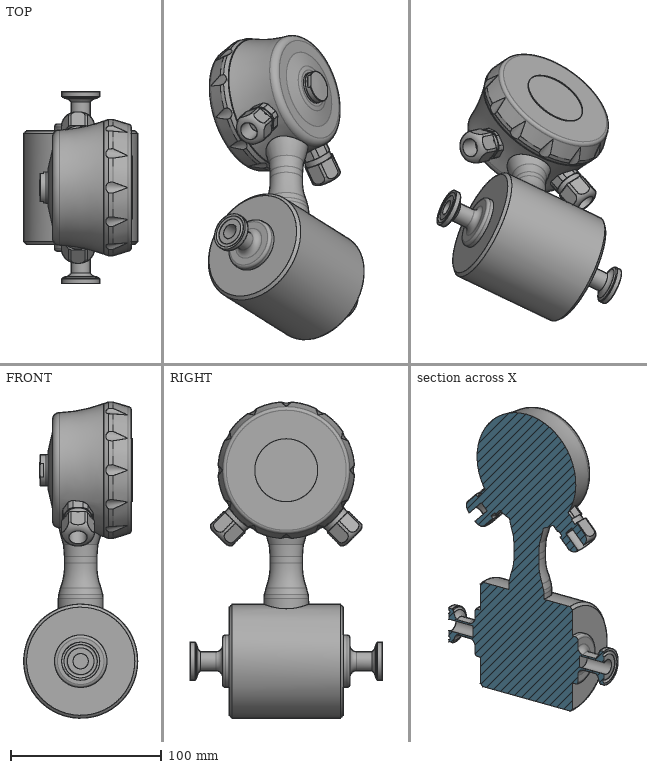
import cadquery as cq
import math


BODY_DIAMETER = 76.1
BODY_LENGTH = 76.0
BODY_CHAMFER = 2.0

OVERALL_LENGTH = 128.0
COLLAR_DIAMETER = 35.0
COLLAR_THICKNESS = 4.5
COLLAR_ROUND = 2.0
PIPE_DIAMETER = 12.9
PIPE_FILLET = 4.2
CLAMP_DIAMETER = 25.4
CLAMP_RIM = 3.2
CLAMP_RIM_BEVEL = 0.6
CLAMP_BACK_DIAMETER = 21.0
CLAMP_BACK = 4.6
CLAMP_LENGTH = 7.0
CLAMP_BOW = 0.4
SEAL_GROOVE_DIAMETER = 20.0
SEAL_GROOVE_WIDTH = 2.2
SEAL_GROOVE_DEPTH = 0.9
BORE_DIAMETER = 10.2
BORE_DEPTH = 20.0

NECK_BASE_DIAMETER = 30.0
NECK_BASE_Z = 41.8
NECK_BEVEL_DIAMETER = 29.4
NECK_BEVEL_Z = 44.4
NECK_SHOULDER_DIAMETER = 27.2
NECK_SHOULDER_Z = 48.7
NECK_LOWER_BOW = 0.9
NECK_WAIST_DIAMETER = 21.8
NECK_WAIST_BOTTOM_Z = 65.3
NECK_WAIST_TOP_Z = 69.8
NECK_FLARE_DIAMETER = 23.0
NECK_FLARE_Z = 77.7
NECK_FLARE_BULGE = 0.3
NECK_TOP_DIAMETER = 30.0
NECK_TOP_Z = 92.0

HEAD_Z = 127.3
HOUSING_FACE_X = -18.8
HOUSING_RADIUS = 38.4
HOUSING_ROUND = 4.6
HOUSING_MID_X = 0.5
HOUSING_MID_RADIUS = 40.2
CONE_RADIUS = 25.7
CONE_STEP_X = -21.1
CONE_STEP_RADIUS = 15.5
HUB_X = -21.8
HUB_RADIUS = 12.5

LID_X = 15.2
LID_EDGE_RADIUS = 44.4
LID_SEAM_WIDTH = 0.4
LID_SEAM_DEPTH = 0.2
RIDGE_START_X = 18.6
RIDGE_END_X = 21.4
RIDGE_RADIUS = 45.65
LID_ROUND_X = 31.6
LID_ROUND_RADIUS = 42.4
LID_FACE_X = 33.8
LID_FACE_RADIUS = 40.0
WINDOW_RADIUS = 21.0
WINDOW_X = 34.4

NOTCH_COUNT = 12
NOTCH_TIP_OVERRUN = 0.3
NOTCH_TIP_CLEARANCE = 0.05
NOTCH_TIP_X = LID_ROUND_X + NOTCH_TIP_OVERRUN
NOTCH_TIP_RADIUS = LID_ROUND_RADIUS + NOTCH_TIP_CLEARANCE
NOTCH_HALF_ANGLE = 27.0
NOTCH_FLOOR_ANGLE = 9.1
NOTCH_CUTTER_LENGTH = 20.0

BUTTON_DIAMETER = 20.8
BUTTON_FOOT_DIAMETER = 21.0
BUTTON_FOOT_X = -23.2
BUTTON_EDGE_X = -27.0
BUTTON_TIP_X = -27.6
BUTTON_CHAMFER = 0.3
BUTTON_FLAT_DISTANCE = 9.4
BUTTON_FLAT_LENGTH = 2.8

GLAND_X = -1.8
GLAND_ANGLE = 45.0
STEM_START = 28.0
BASE_HEX_START = 37.9
BASE_HEX_END = 44.8
NUT_START = 48.7
NUT_END = 63.3
STEM_DIAMETER = 16.0
BASE_HEX_FLATS = 19.2
BASE_HEX_DIAMETER = 20.4
GLAND_COLLAR_DIAMETER = 18.6
NUT_FLATS = 20.0
NUT_DIAMETER = 22.0
NUT_END_ROUND = 4.8
CABLE_HOLE_DIAMETER = 12.0
CABLE_HOLE_DEPTH = 14.0


def make_body():
    body = (
        cq.Workplane("XZ", origin=(0, BODY_LENGTH / 2, 0))
        .circle(BODY_DIAMETER / 2)
        .extrude(BODY_LENGTH)
    )
    return body.faces("|Y").edges().chamfer(BODY_CHAMFER)


def make_pipe_end():
    """Collar, pipe and clamp ferrule on the -Y side, turned about the Y axis."""
    collar_face = BODY_LENGTH / 2 + COLLAR_THICKNESS
    end = OVERALL_LENGTH / 2
    pipe_radius = PIPE_DIAMETER / 2
    collar_radius = COLLAR_DIAMETER / 2
    clamp_radius = CLAMP_DIAMETER / 2
    back_radius = CLAMP_BACK_DIAMETER / 2
    groove_radius = SEAL_GROOVE_DIAMETER / 2
    half_groove = SEAL_GROOVE_WIDTH / 2
    diagonal = math.sqrt(0.5)
    collar_center = collar_face - COLLAR_ROUND
    collar_arc = (
        collar_radius - COLLAR_ROUND * (1 - diagonal),
        -(collar_center + COLLAR_ROUND * diagonal),
    )
    fillet_arc = (
        pipe_radius + PIPE_FILLET * (1 - diagonal),
        -(collar_face + PIPE_FILLET * (1 - diagonal)),
    )
    clamp_arc = (
        (pipe_radius + back_radius) / 2 - CLAMP_BOW,
        -(end - (CLAMP_LENGTH + CLAMP_BACK) / 2 + CLAMP_BOW),
    )
    profile = (
        cq.Workplane("XY")
        .moveTo(0, 0)
        .lineTo(collar_radius, 0)
        .lineTo(collar_radius, -collar_center)
        .threePointArc(collar_arc, (collar_radius - COLLAR_ROUND, -collar_face))
        .lineTo(pipe_radius + PIPE_FILLET, -collar_face)
        .threePointArc(fillet_arc, (pipe_radius, -(collar_face + PIPE_FILLET)))
        .lineTo(pipe_radius, -(end - CLAMP_LENGTH))
        .threePointArc(clamp_arc, (back_radius, -(end - CLAMP_BACK)))
        .lineTo(clamp_radius - CLAMP_RIM_BEVEL, -(end - CLAMP_RIM - CLAMP_RIM_BEVEL))
        .lineTo(clamp_radius, -(end - CLAMP_RIM))
        .lineTo(clamp_radius, -end)
        .lineTo(groove_radius + half_groove, -end)
        .threePointArc(
            (groove_radius, -(end - SEAL_GROOVE_DEPTH)),
            (groove_radius - half_groove, -end),
        )
        .lineTo(0, -end)
        .close()
    )
    pipe_end = profile.revolve(360, (0, 0, 0), (0, 1, 0))
    bore = (
        cq.Workplane("XZ", origin=(0, -end, 0))
        .circle(BORE_DIAMETER / 2)
        .extrude(-BORE_DEPTH)
    )
    return pipe_end.cut(bore)


def make_neck():
    """Waisted neck turned about the Z axis, from the body axis up into the head."""
    base = NECK_BASE_DIAMETER / 2
    shoulder = NECK_SHOULDER_DIAMETER / 2
    waist = NECK_WAIST_DIAMETER / 2
    flare = NECK_FLARE_DIAMETER / 2
    top = NECK_TOP_DIAMETER / 2
    lower_arc = (
        (shoulder + waist) / 2 - NECK_LOWER_BOW,
        (NECK_SHOULDER_Z + NECK_WAIST_BOTTOM_Z) / 2,
    )
    flare_arc = (
        (flare + top) / 2 + NECK_FLARE_BULGE,
        (NECK_FLARE_Z + NECK_TOP_Z) / 2,
    )
    return (
        cq.Workplane("XZ")
        .moveTo(0, 0)
        .lineTo(base, 0)
        .lineTo(base, NECK_BASE_Z)
        .lineTo(NECK_BEVEL_DIAMETER / 2, NECK_BEVEL_Z)
        .lineTo(shoulder, NECK_SHOULDER_Z)
        .threePointArc(lower_arc, (waist, NECK_WAIST_BOTTOM_Z))
        .lineTo(waist, NECK_WAIST_TOP_Z)
        .lineTo(flare, NECK_FLARE_Z)
        .threePointArc(flare_arc, (top, NECK_TOP_Z))
        .lineTo(0, NECK_TOP_Z)
        .close()
        .revolve(360, (0, 0, 0), (0, 1, 0))
    )


def make_head():
    """Housing and lid turned about the head axis."""
    inset_ratio = 1 - math.sqrt(0.5)
    round_inset = HOUSING_ROUND * inset_ratio
    lid_round_arc = (
        LID_FACE_X - (LID_FACE_X - LID_ROUND_X) * inset_ratio,
        LID_ROUND_RADIUS - (LID_ROUND_RADIUS - LID_FACE_RADIUS) * inset_ratio,
    )
    seam_radius = LID_EDGE_RADIUS - LID_SEAM_DEPTH
    return (
        cq.Workplane("XZ", origin=(0, 0, HEAD_Z))
        .moveTo(HUB_X, 0)
        .lineTo(HUB_X, HUB_RADIUS)
        .lineTo(CONE_STEP_X, CONE_STEP_RADIUS)
        .lineTo(HOUSING_FACE_X, CONE_RADIUS)
        .lineTo(HOUSING_FACE_X, HOUSING_RADIUS - HOUSING_ROUND)
        .threePointArc(
            (HOUSING_FACE_X + round_inset, HOUSING_RADIUS - round_inset),
            (HOUSING_FACE_X + HOUSING_ROUND, HOUSING_RADIUS),
        )
        .threePointArc((HOUSING_MID_X, HOUSING_MID_RADIUS), (LID_X, LID_EDGE_RADIUS))
        .lineTo(LID_X, seam_radius)
        .lineTo(LID_X + LID_SEAM_WIDTH, seam_radius)
        .lineTo(LID_X + LID_SEAM_WIDTH, LID_EDGE_RADIUS)
        .lineTo(RIDGE_START_X, RIDGE_RADIUS)
        .lineTo(RIDGE_END_X, RIDGE_RADIUS)
        .lineTo(LID_ROUND_X, LID_ROUND_RADIUS)
        .threePointArc(lid_round_arc, (LID_FACE_X, LID_FACE_RADIUS))
        .lineTo(LID_FACE_X, WINDOW_RADIUS)
        .lineTo(WINDOW_X, WINDOW_RADIUS)
        .lineTo(WINDOW_X, 0)
        .close()
        .revolve(360, (0, 0, 0), (1, 0, 0))
    )


def make_notch_cutter():
    """Cone with its tip at the end of the lid's taper, widening towards the housing."""
    tilt = math.radians(NOTCH_HALF_ANGLE + NOTCH_FLOOR_ANGLE)
    end_radius = NOTCH_CUTTER_LENGTH * math.tan(math.radians(NOTCH_HALF_ANGLE))
    cone = cq.Solid.makeCone(
        0,
        end_radius,
        NOTCH_CUTTER_LENGTH,
        cq.Vector(NOTCH_TIP_X, 0, HEAD_Z + NOTCH_TIP_RADIUS),
        cq.Vector(-math.cos(tilt), 0, math.sin(tilt)),
    )
    return cq.Workplane(cone)


def cut_grip_notches(head):
    cutter = make_notch_cutter()
    for index in range(NOTCH_COUNT):
        angle = index * 360 / NOTCH_COUNT
        head = head.cut(cutter.rotate((0, 0, HEAD_Z), (1, 0, HEAD_Z), angle))
    return head


def make_button():
    """Button with two flats and a slightly conical face, on the head axis."""
    radius = BUTTON_DIAMETER / 2
    foot_radius = BUTTON_FOOT_DIAMETER / 2
    button = (
        cq.Workplane("XZ", origin=(0, 0, HEAD_Z))
        .moveTo(HOUSING_FACE_X, 0)
        .lineTo(HOUSING_FACE_X, foot_radius)
        .lineTo(BUTTON_FOOT_X, foot_radius)
        .lineTo(BUTTON_FOOT_X, radius)
        .lineTo(BUTTON_EDGE_X + BUTTON_CHAMFER, radius)
        .lineTo(BUTTON_EDGE_X, radius - BUTTON_CHAMFER)
        .lineTo(BUTTON_TIP_X, 0)
        .close()
        .revolve(360, (0, 0, 0), (1, 0, 0))
    )
    for side in (-1, 1):
        cutter_y = side * (BUTTON_FLAT_DISTANCE + radius / 2)
        cutter = cq.Workplane("XY").box(2 * BUTTON_FLAT_LENGTH, radius, BUTTON_DIAMETER)
        button = button.cut(cutter.translate((BUTTON_TIP_X, cutter_y, HEAD_Z)))
    return button


def make_disc(start, end, diameter):
    return cq.Workplane("XY", origin=(0, 0, start)).circle(diameter / 2).extrude(end - start)


def make_hex(start, end, flats, diameter):
    """Hexagon with a flat towards Y and its corners turned down to a diameter."""
    prism = (
        cq.Workplane("XY", origin=(0, 0, start))
        .polygon(6, flats / math.cos(math.pi / 6))
        .extrude(end - start)
    )
    return prism.intersect(make_disc(start, end, diameter))


def make_gland(side):
    """Cable gland below the head, tilted to the +Y (1) or -Y (-1) side."""
    nut_blank = make_disc(NUT_START, NUT_END, NUT_DIAMETER)
    nut_blank = nut_blank.faces(">Z").edges().fillet(NUT_END_ROUND)
    nut = make_hex(NUT_START, NUT_END, NUT_FLATS, NUT_DIAMETER).intersect(nut_blank)
    gland = (
        make_disc(STEM_START, BASE_HEX_START, STEM_DIAMETER)
        .union(make_hex(BASE_HEX_START, BASE_HEX_END, BASE_HEX_FLATS, BASE_HEX_DIAMETER))
        .union(make_disc(BASE_HEX_END, NUT_START, GLAND_COLLAR_DIAMETER))
        .union(nut)
        .cut(make_disc(NUT_END - CABLE_HOLE_DEPTH, NUT_END, CABLE_HOLE_DIAMETER))
    )
    tilt = -side * (180 - GLAND_ANGLE)
    return gland.rotate((0, 0, 0), (1, 0, 0), tilt).translate((GLAND_X, 0, HEAD_Z))


pipe_end = make_pipe_end()
result = (
    make_body()
    .union(pipe_end)
    .union(pipe_end.mirror("XZ"))
    .union(make_neck())
    .union(cut_grip_notches(make_head()))
    .union(make_button())
    .union(make_gland(1))
    .union(make_gland(-1))
)